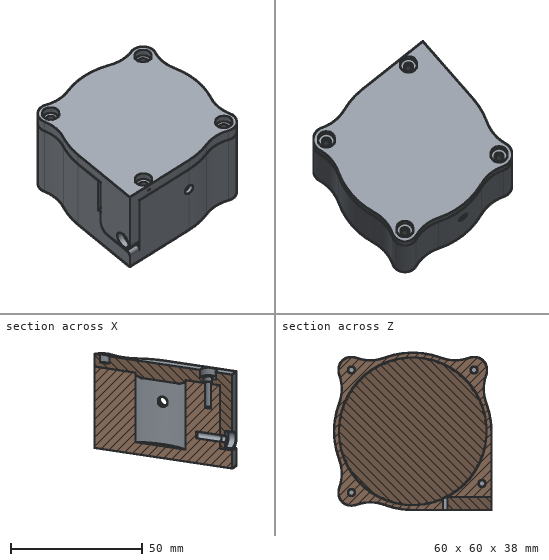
import cadquery as cq
import math

height = 38.0
body_radius = 30.0
lid_thickness = 5.0
split_z = height - lid_thickness

cavity_radius = 28.0
floor_thickness = 5.0

boss_radius = 5.0
blend_radius = 16.0
screw_circle = cavity_radius + boss_radius
round_corner_angles = [45, 135, 225]
square_corner_screw_angle = -37
screw_angles = round_corner_angles + [square_corner_screw_angle]

head_diameter = 6.5
head_depth = 3.0
clearance_diameter = 3.4
thread_diameter = 2.53
thread_depth = 10.0

plug_height = 2.0
plug_chamfer = 0.8

tab_left = 13.2
tab_bottom = 7.5
tab_thickness = 5.0
tab_corner_radius = 4.0
notch_edge_radius = 1.5
tab_front = -body_radius
tab_screw_x = body_radius - tab_corner_radius
tab_screw_z = tab_bottom + tab_corner_radius

slot_width = 1.6
slot_bottom = 17.0
cross_hole_diameter = 4.0
cross_hole_z = 22.0


def polar(radius, angle, center=(0, 0)):
    """Point at a radius and an angle in degrees about a center."""
    turn = math.radians(angle)
    return (center[0] + radius * math.cos(turn), center[1] + radius * math.sin(turn))


def outline(bottom_z):
    """Round body with three blended screw bosses and one square corner."""
    blend_distance = body_radius + blend_radius
    boss_to_blend = boss_radius + blend_radius
    cosine = (screw_circle**2 + blend_distance**2 - boss_to_blend**2) / (2 * screw_circle * blend_distance)
    blend_offset = math.degrees(math.acos(cosine))

    def blend_arc(angle, corner_angle):
        """Middle of a blend arc and its end on the boss."""
        center = polar(blend_distance, angle)
        boss = polar(screw_circle, corner_angle)
        toward_boss = math.degrees(math.atan2(boss[1] - center[1], boss[0] - center[0]))
        toward_body = angle + 180
        half_turn = ((toward_boss - toward_body + 180) % 360 - 180) / 2
        return polar(blend_radius, toward_body + half_turn, center), polar(blend_radius, toward_boss, center)

    wire = (
        cq.Workplane("XY", origin=(0, 0, bottom_z))
        .moveTo(0, -body_radius)
        .lineTo(body_radius, -body_radius)
        .lineTo(body_radius, 0)
    )
    previous_angle = 0
    for corner in round_corner_angles:
        before = corner - blend_offset
        after = corner + blend_offset
        middle_in, boss_start = blend_arc(before, corner)
        middle_out, boss_end = blend_arc(after, corner)
        wire = (
            wire.threePointArc(polar(body_radius, (previous_angle + before) / 2), polar(body_radius, before))
            .threePointArc(middle_in, boss_start)
            .threePointArc(polar(screw_circle + boss_radius, corner), boss_end)
            .threePointArc(middle_out, polar(body_radius, after))
        )
        previous_angle = after
    return wire.threePointArc(polar(body_radius, (previous_angle + 270) / 2), (0, -body_radius)).close()


def cylinder(diameter, length, origin, direction):
    """Cylinder starting at an origin and running along a direction."""
    solid = cq.Solid.makeCylinder(diameter / 2, length, cq.Vector(*origin), cq.Vector(*direction))
    return cq.Workplane(solid)


def tab_block(top):
    """Square block in the tab's place, with the inner lower corner rounded."""
    block = cq.Workplane("XY").box(
        body_radius - tab_left, tab_thickness, top - tab_bottom, centered=False
    ).translate((tab_left, tab_front, tab_bottom))
    return block.edges("|Y and <X and <Z").fillet(tab_corner_radius)


def tab_plate():
    """Tab with both lower corners rounded."""
    return tab_block(height).edges("|Y and >X and <Z").fillet(tab_corner_radius)


def tab_notch():
    """Room for the tab in the base, flaring out over a rounded outer lower edge."""
    flare = cq.Workplane("XY").box(
        notch_edge_radius, tab_thickness, notch_edge_radius, centered=False
    ).translate((body_radius - notch_edge_radius, tab_front, tab_bottom - notch_edge_radius))
    rounded_edge = cylinder(
        2 * notch_edge_radius,
        tab_thickness,
        (body_radius - notch_edge_radius, tab_front, tab_bottom - notch_edge_radius),
        (0, 1, 0),
    )
    return tab_block(split_z).union(flare.cut(rounded_edge))


def lid_screw_places():
    """Centers of the lid screws, all on one circle."""
    return [polar(screw_circle, angle) for angle in screw_angles]


def make_base():
    base = outline(0).extrude(split_z)
    cavity_depth = split_z - floor_thickness
    base = base.cut(cylinder(2 * cavity_radius, cavity_depth, (0, 0, floor_thickness), (0, 0, 1)))
    base = base.cut(tab_notch())

    slot = cq.Workplane("XY").box(
        slot_width, body_radius, split_z - slot_bottom, centered=False
    ).translate((tab_left - slot_width, -body_radius, slot_bottom))
    base = base.cut(slot)

    cross_hole_start = (-body_radius, 0, cross_hole_z)
    base = base.cut(cylinder(cross_hole_diameter, 2 * body_radius, cross_hole_start, (1, 0, 0)))

    for x, y in lid_screw_places():
        base = base.cut(cylinder(thread_diameter, thread_depth, (x, y, split_z), (0, 0, -1)))
    tab_back = tab_front + tab_thickness
    return base.cut(cylinder(thread_diameter, thread_depth, (tab_screw_x, tab_back, tab_screw_z), (0, 1, 0)))


def make_lid():
    lid = outline(split_z).extrude(lid_thickness)
    plug = cylinder(2 * cavity_radius, plug_height, (0, 0, split_z), (0, 0, -1))
    lid = lid.union(plug.faces("<Z").chamfer(plug_chamfer))
    lid = lid.union(tab_plate())

    for x, y in lid_screw_places():
        lid = lid.cut(cylinder(clearance_diameter, lid_thickness, (x, y, height), (0, 0, -1)))
        lid = lid.cut(cylinder(head_diameter, head_depth, (x, y, height), (0, 0, -1)))

    tab_screw = (tab_screw_x, tab_front, tab_screw_z)
    lid = lid.cut(cylinder(thread_diameter, tab_thickness, tab_screw, (0, 1, 0)))
    return lid.cut(cylinder(head_diameter, head_depth, tab_screw, (0, 1, 0)))


base = make_base()
lid = make_lid()
result = cq.Compound.makeCompound([base.solids().val(), lid.solids().val()])